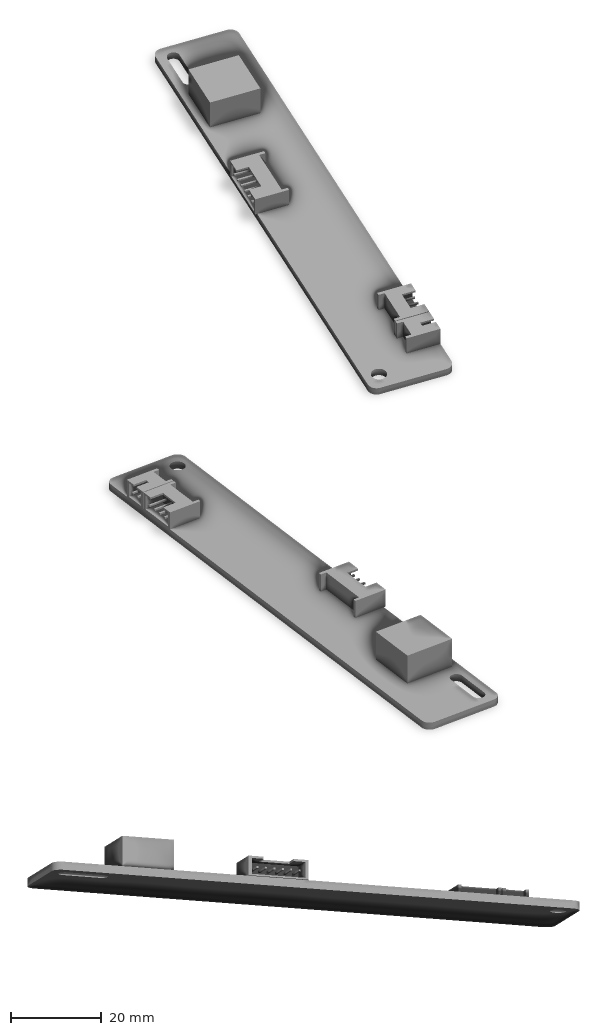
import cadquery as cq

BOARD_LENGTH = 123.0
BOARD_WIDTH = 20.0
BOARD_THICKNESS = 1.8
CORNER_RADIUS = 2.1

MOUNT_Y = -6.4
HOLE_X = 57.2
HOLE_DIAMETER = 3.6
SLOT_X = -53.6
SLOT_LENGTH = 11.5
SLOT_WIDTH = 3.0

BLOCK_SIDE = 12.0
BLOCK_HEIGHT = 7.3
BLOCK_X = -39.1
BLOCK_Y = -2.2

PIN_PITCH = 2.0
PIN_SIZE = 0.43
HEADER_END_MARGIN = 2.1
HEADER_DEPTH = 8.1
HEADER_HEIGHT = 4.4
HEADER_END_WALL = 0.7
HEADER_TOP_WALL = 0.5
HEADER_FLOOR = 0.4
CAVITY_DEPTH = 4.7
BACK_RECESS = 1.5
PIN_HEIGHT = 2.0

FRONT_OVERHANG = 0.5
SIX_PIN_X = -9.5
FOUR_PIN_X = 41.8
TWO_PIN_X = 50.2
SIX_PIN_WINDOW = (7.0, 3.0)
FOUR_PIN_WINDOW = (4.9, 3.3)
TWO_PIN_WINDOW = (1.1, 3.3)


def box(width, depth, height, x, y_start, z_start):
    """Box centred on x that grows along +Y and +Z from its start faces."""
    start = cq.Workplane("XY", origin=(x, y_start, z_start))
    return start.box(width, depth, height, centered=(True, False, False))


def make_board():
    board = cq.Workplane("XY").box(BOARD_LENGTH, BOARD_WIDTH, BOARD_THICKNESS, centered=(True, True, False))
    board = board.edges("|Z").fillet(CORNER_RADIUS)
    hole = cq.Workplane("XY").center(HOLE_X, MOUNT_Y).circle(HOLE_DIAMETER / 2).extrude(BOARD_THICKNESS)
    slot = cq.Workplane("XY").center(SLOT_X, MOUNT_Y).slot2D(SLOT_LENGTH, SLOT_WIDTH).extrude(BOARD_THICKNESS)
    return board.cut(hole).cut(slot)


def make_header(pin_count, window):
    """Header standing on Z = 0 with its mouth in the plane Y = 0, facing -Y."""
    pin_span = (pin_count - 1) * PIN_PITCH
    width = pin_span + 2 * HEADER_END_MARGIN
    inner_width = width - 2 * HEADER_END_WALL
    cavity_height = HEADER_HEIGHT - HEADER_FLOOR - HEADER_TOP_WALL
    window_width, window_depth = window

    header = box(width, HEADER_DEPTH, HEADER_HEIGHT, 0, 0, 0)
    header = header.cut(box(inner_width, BACK_RECESS, HEADER_HEIGHT, 0, HEADER_DEPTH - BACK_RECESS, 0))
    header = header.cut(box(inner_width, CAVITY_DEPTH, cavity_height, 0, 0, HEADER_FLOOR))
    header = header.cut(box(window_width, window_depth, HEADER_HEIGHT, 0, 0, HEADER_FLOOR))

    pin_length = HEADER_DEPTH - BACK_RECESS
    pin_bottom = PIN_HEIGHT - PIN_SIZE / 2
    for index in range(pin_count):
        pin_x = index * PIN_PITCH - pin_span / 2
        header = header.union(box(PIN_SIZE, pin_length, PIN_SIZE, pin_x, 0, pin_bottom))
    return header


def place_on_front_edge(header, x):
    return header.translate((x, -BOARD_WIDTH / 2 - FRONT_OVERHANG, BOARD_THICKNESS))


def place_on_back_edge(header, x):
    return header.rotate((0, 0, 0), (0, 0, 1), 180).translate((x, BOARD_WIDTH / 2, BOARD_THICKNESS))


block = box(BLOCK_SIDE, BLOCK_SIDE, BLOCK_HEIGHT, BLOCK_X, BLOCK_Y - BLOCK_SIDE / 2, BOARD_THICKNESS)

result = (
    make_board()
    .union(block)
    .union(place_on_front_edge(make_header(6, SIX_PIN_WINDOW), SIX_PIN_X))
    .union(place_on_back_edge(make_header(4, FOUR_PIN_WINDOW), FOUR_PIN_X))
    .union(place_on_back_edge(make_header(2, TWO_PIN_WINDOW), TWO_PIN_X))
)